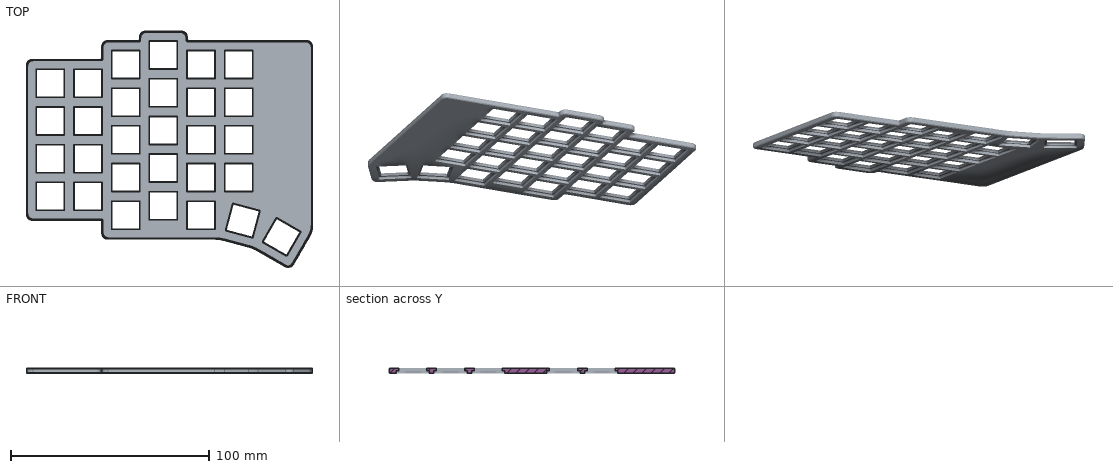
import cadquery as cq
import math

column_drops = [0.75, 0.75, 0.25, 0, 0.25, 0.25]
column_counts = [4, 4, 5, 5, 5, 4]
outer_column = 0
main_column = 2
tab_column = 3
key_grid_width = 114.1
key_pitch = key_grid_width / len(column_counts)
key_hole = 14.0
recess_size = 16.5
key_to_edge = 12.0

thumb_base_column = 4
thumb_placements = [(21.0, -2.7, -15), (40.7, -11.0, -30)]

plate_length = 144.2
plate_width = 119.0
plate_thickness = 2.7
edge_chamfer = 0.5
seat_thickness = 1.5
recess_depth = plate_thickness - seat_thickness
left = -plate_length / 2
right = plate_length / 2
top = plate_width / 2

corner_radius = 3.0
inner_radius = 0.7
sweep_radius = 20.0
side_radius = 10.0


def column_x(column):
    return left + key_to_edge + column * key_pitch


def key_y(column, row):
    return top - key_to_edge - (column_drops[column] + row) * key_pitch


thumb_base_x = column_x(thumb_base_column)
thumb_base_y = key_y(thumb_base_column, column_counts[thumb_base_column] - 1)
thumb_keys = [(thumb_base_x + dx, thumb_base_y + dy, turn) for dx, dy, turn in thumb_placements]


def thumb_edge(thumb, side_angle):
    """Point and direction of the outline edge beside a thumb key, on the side facing side_angle."""
    x, y, turn = thumb
    normal = math.radians(turn + side_angle)
    point = (x + key_to_edge * math.cos(normal), y + key_to_edge * math.sin(normal))
    return point, (-math.sin(normal), math.cos(normal))


def crossing(line_a, line_b):
    """Intersection of two lines, each given as a point and a direction."""
    (ax, ay), (adx, ady) = line_a
    (bx, by), (bdx, bdy) = line_b
    along = ((bx - ax) * bdy - (by - ay) * bdx) / (adx * bdy - ady * bdx)
    return ax + along * adx, ay + along * ady


def unit_vector(start, end):
    length = math.dist(start, end)
    return (end[0] - start[0]) / length, (end[1] - start[1]) / length


def corner_arc(previous, corner, following, radius):
    """Start, middle and end of the arc that rounds a corner."""
    back = unit_vector(corner, previous)
    ahead = unit_vector(corner, following)
    half_angle = math.acos(back[0] * ahead[0] + back[1] * ahead[1]) / 2
    setback = radius / math.tan(half_angle)
    bulge = radius / math.sin(half_angle) - radius
    inward = unit_vector((0, 0), (back[0] + ahead[0], back[1] + ahead[1]))
    return [
        (corner[0] + distance * direction[0], corner[1] + distance * direction[1])
        for distance, direction in ((setback, back), (bulge, inward), (setback, ahead))
    ]


def rounded_outline(corners):
    """Closed outline through (point, radius) corners."""
    points = [point for point, _ in corners]
    arcs = [
        corner_arc(points[i - 1], point, points[(i + 1) % len(points)], radius)
        for i, (point, radius) in enumerate(corners)
    ]
    _, _, last_end = arcs[-1]
    outline = cq.Workplane("XY").moveTo(*last_end)
    for start, middle, end in arcs:
        outline = outline.lineTo(*start)
        outline = outline.threePointArc(middle, end)
    return outline.close()


def plate_body():
    """Plate with stepped ends, a raised tab and a swept thumb corner, chamfered top and bottom."""
    outer_bottom = key_y(outer_column, column_counts[outer_column] - 1) - key_to_edge
    outer_top = key_y(outer_column, 0) + key_to_edge
    main_left = column_x(main_column) - key_to_edge
    main_top = key_y(main_column, 0) + key_to_edge
    main_bottom = thumb_base_y - key_to_edge
    tab_left = column_x(tab_column) - key_to_edge
    tab_right = column_x(tab_column) + key_to_edge

    first_bottom = thumb_edge(thumb_keys[0], -90)
    second_bottom = thumb_edge(thumb_keys[1], -90)
    second_side = thumb_edge(thumb_keys[1], 0)
    main_bottom_line = ((0, main_bottom), (1, 0))
    right_line = ((right, 0), (0, 1))

    corners = [
        ((left, outer_top), corner_radius),
        ((main_left, outer_top), inner_radius),
        ((main_left, main_top), corner_radius),
        ((tab_left, main_top), inner_radius),
        ((tab_left, top), corner_radius),
        ((tab_right, top), corner_radius),
        ((tab_right, main_top), inner_radius),
        ((right, main_top), corner_radius),
        (crossing(right_line, second_side), side_radius),
        (crossing(second_side, second_bottom), corner_radius),
        (crossing(second_bottom, first_bottom), sweep_radius),
        (crossing(first_bottom, main_bottom_line), sweep_radius),
        ((main_left, main_bottom), corner_radius),
        ((main_left, outer_bottom), inner_radius),
        ((left, outer_bottom), corner_radius),
    ]

    body = rounded_outline(corners).extrude(plate_thickness)
    return body.faces("<Z or >Z").chamfer(edge_chamfer)


def square_block(size, height, x, y, turn=0):
    block = cq.Workplane("XY").rect(size, size).extrude(height)
    return block.rotate((0, 0, 0), (0, 0, 1), turn).translate((x, y, 0))


def key_cutter(x, y, turn=0):
    """Square key opening with a wider recess in the underside."""
    opening = square_block(key_hole, plate_thickness, x, y, turn)
    recess = square_block(recess_size, recess_depth, x, y, turn)
    return opening.union(recess)


result = plate_body()
for column, count in enumerate(column_counts):
    for row in range(count):
        result = result.cut(key_cutter(column_x(column), key_y(column, row)))
for x, y, turn in thumb_keys:
    result = result.cut(key_cutter(x, y, turn))